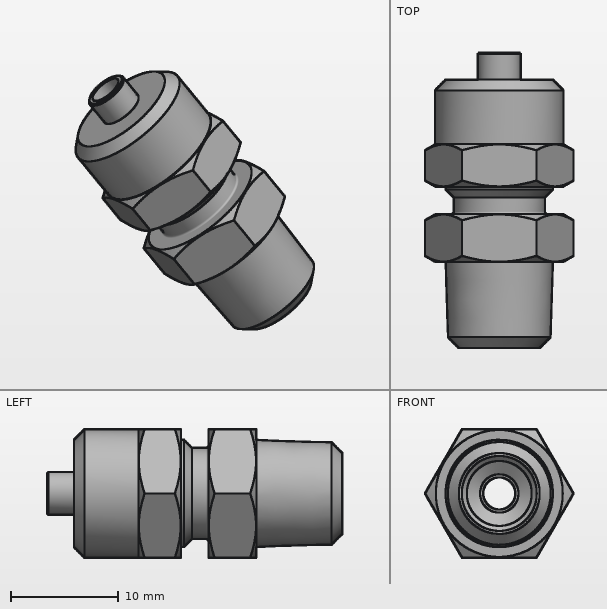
import cadquery as cq
import math

total_length = 27.5
across_flats = 12.0

thread_length = 8.0
thread_root_radius = 5.0
thread_tip_radius = 4.78
thread_chamfer = 1.02

body_hex_end = 12.48
neck_radius = 4.25
neck_fillet = 0.2
neck_end = 14.02
shoulder_radius = 5.0
shoulder_flare = shoulder_radius - neck_radius

nut_start = 15.02
nut_hex_end = 19.0
sleeve_end = 25.0
sleeve_radius = across_flats / 2
sleeve_chamfer = 1.0

bevel_angle = math.radians(30)
hex_face_radius = 5.9
corner_radius = across_flats / math.sqrt(3)
bevel_depth = (corner_radius - hex_face_radius) * math.tan(bevel_angle)

stem_radius = 2.0
stem_chamfer = 0.15

bore_radius = 3.02
bore_depth = thread_length
bore_chamfer = 0.47
bore_cone_end_radius = 1.8
drill_half_angle = math.radians(59)
bore_cone_depth = (bore_radius - bore_cone_end_radius) / math.tan(drill_half_angle)
passage_radius = 1.48


def turned(profile):
    """Revolve (radius, y) points about the Y axis."""
    return cq.Workplane("XY").polyline(profile).close().revolve(360, (0, 0, 0), (0, 1, 0))


def hexagon(start, end):
    """Hexagon with corners on X and both ends bevelled."""
    prism = (
        cq.Workplane("XZ", origin=(0, start, 0))
        .polygon(6, 2 * corner_radius)
        .extrude(start - end)
    )
    bevel = turned([
        (0, start),
        (hex_face_radius, start),
        (corner_radius, start + bevel_depth),
        (corner_radius, end - bevel_depth),
        (hex_face_radius, end),
        (0, end),
    ])
    return prism.intersect(bevel)


round_body = turned([
    (0, 0),
    (thread_tip_radius - thread_chamfer, 0),
    (thread_tip_radius, thread_chamfer),
    (thread_root_radius, thread_length),
    (neck_radius, thread_length),
    (neck_radius, neck_end),
    (shoulder_radius, neck_end + shoulder_flare),
    (shoulder_radius, nut_hex_end),
    (sleeve_radius, nut_hex_end),
    (sleeve_radius, sleeve_end - sleeve_chamfer),
    (sleeve_radius - sleeve_chamfer, sleeve_end),
    (stem_radius, sleeve_end),
    (stem_radius, total_length - stem_chamfer),
    (stem_radius - stem_chamfer, total_length),
    (0, total_length),
])

bore = turned([
    (0, 0),
    (bore_radius + bore_chamfer, 0),
    (bore_radius, bore_chamfer),
    (bore_radius, bore_depth),
    (bore_cone_end_radius, bore_depth + bore_cone_depth),
    (passage_radius, bore_depth + bore_cone_depth),
    (passage_radius, total_length),
    (0, total_length),
])

body_hex = hexagon(thread_length, body_hex_end)
nut_hex = hexagon(nut_start, nut_hex_end)

fillet_offset = neck_fillet * (1 - math.cos(math.radians(45)))
fillet_ring = (
    cq.Workplane("XY")
    .moveTo(0, body_hex_end)
    .lineTo(neck_radius + neck_fillet, body_hex_end)
    .threePointArc(
        (neck_radius + fillet_offset, body_hex_end + fillet_offset),
        (neck_radius, body_hex_end + neck_fillet),
    )
    .lineTo(0, body_hex_end + neck_fillet)
    .close()
    .revolve(360, (0, 0, 0), (0, 1, 0))
)

outside = round_body.union(body_hex).union(nut_hex).union(fillet_ring)
result = outside.cut(bore)